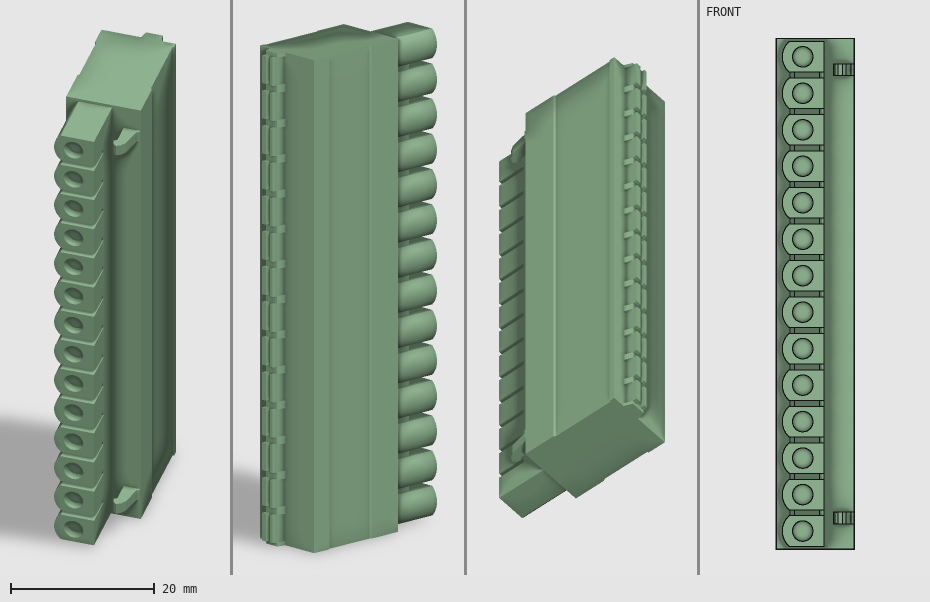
import cadquery as cq
import math


height = 71.1
width = 10.9
depth = 16.2
side_recess = 0.2
recess_front = 5.1
recess_ramp = 0.3
left_recess_back = 13.2
right_recess_back = 15.35

pole_count = 14
first_pole = 2.55
pitch = (height - 2 * first_pole) / (pole_count - 1)
pole_heights = [first_pole + i * pitch for i in range(pole_count)]
gap_heights = [z + pitch / 2 for z in pole_heights[:-1]]

socket_length = 8.3
socket_height = 4.3
socket_radius = 2.85
socket_axis_x = 3.7
socket_right = 6.7
bore_radius = 1.4
bore_depth = 1.3

web_left = 1.9
web_step_left = 2.55
web_step_right = 6.05
web_length = 4.05
web_shoulder_length = 3.9

hook_width = 1.65
hook_end_distance = 3.55
hook_profile = [
    (8.4, 0),
    (8.4, -2.9),
    (8.0, -3.3),
    (8.2, -4.0),
    (8.6, -4.35),
    (9.25, -4.0),
    (9.75, -3.3),
    (10.4, -0.5),
    (10.8, -0.2),
    (10.8, 0),
]

ridge_left = 5.75
ridge_right = 8.9
ridge_top_left = 6.1
ridge_top_right = 8.4
ridge_height = 1.3
lug_left = 6.1
lug_right = 8.4
lug_height = 2.0
lug_width = 4.0
lug_chamfer = 0.2
slot_left = 6.75
slot_right = 7.6


def box(x0, x1, y0, y1, z0, z1):
    """Axis-aligned box between two opposite corners."""
    return cq.Workplane("XY").box(x1 - x0, y1 - y0, z1 - z0, centered=False).translate((x0, y0, z0))


def make_housing():
    """Plain block with a shallow relief along both long sides, ramped at its front end."""
    return (
        cq.Workplane("XY")
        .polyline([
            (0, 0),
            (width, 0),
            (width, recess_front),
            (width - side_recess, recess_front + recess_ramp),
            (width - side_recess, right_recess_back),
            (width, right_recess_back),
            (width, depth),
            (0, depth),
            (0, left_recess_back),
            (side_recess, left_recess_back),
            (side_recess, recess_front + recess_ramp),
            (0, recess_front),
        ])
        .close()
        .extrude(height)
    )


def make_socket(z):
    """Sleeve in front of the housing, centred at height z."""
    half = socket_height / 2
    arc_start = socket_axis_x - math.sqrt(socket_radius**2 - half**2)
    return (
        cq.Workplane("XZ")
        .moveTo(arc_start, z - half)
        .lineTo(socket_right, z - half)
        .lineTo(socket_right, z + half)
        .lineTo(arc_start, z + half)
        .threePointArc((socket_axis_x - socket_radius, z), (arc_start, z - half))
        .close()
        .extrude(socket_length)
    )


def make_bore(z):
    """Blind bore in the free end of the socket at height z."""
    return (
        cq.Workplane("XZ", origin=(0, bore_depth - socket_length, 0))
        .center(socket_axis_x, z)
        .circle(bore_radius)
        .extrude(bore_depth)
    )


def make_web(z):
    """Web filling the gap between two sockets, its end raised between two low shoulders."""
    half_gap = (pitch - socket_height) / 2
    bottom = z - half_gap
    top = z + half_gap
    web = box(web_left, socket_right, -web_shoulder_length, 0, bottom, top)
    return web.union(box(web_step_left, web_step_right, -web_length, 0, bottom, top))


def make_hook(z):
    """Latch hook with a flared root and a barb on its left; its underside is at height z."""
    return (
        cq.Workplane("XY", origin=(0, 0, z))
        .polyline(hook_profile)
        .close()
        .extrude(hook_width)
    )


def make_ridge():
    """Tapered ridge along the full height of the rear face."""
    return (
        cq.Workplane("XY")
        .polyline([
            (ridge_left, depth),
            (ridge_right, depth),
            (ridge_top_right, depth + ridge_height),
            (ridge_top_left, depth + ridge_height),
        ])
        .close()
        .extrude(height)
    )


def make_lug_clearance(z):
    """Stretch of the ridge that gives way to the lug at height z."""
    half = lug_width / 2
    return box(ridge_left, ridge_right, depth, depth + ridge_height, z - half, z + half)


def make_lug(z):
    """Straight-sided lug with a chamfered left edge, split into two prongs by a slot."""
    half = lug_width / 2
    lug = box(lug_left, lug_right, depth, depth + lug_height, z - half, z + half)
    lug = lug.edges("|Z and <X and >Y").chamfer(lug_chamfer)
    slot = box(slot_left, slot_right, depth + ridge_height, depth + lug_height, z - half, z + half)
    return lug.cut(slot)


result = make_housing().union(make_ridge())

for z in pole_heights:
    result = result.cut(make_lug_clearance(z))
    result = result.union(make_lug(z))
    result = result.union(make_socket(z))

for z in gap_heights:
    result = result.union(make_web(z))

for z in pole_heights:
    result = result.cut(make_bore(z))

for z in (hook_end_distance, height - hook_end_distance - hook_width):
    result = result.union(make_hook(z))